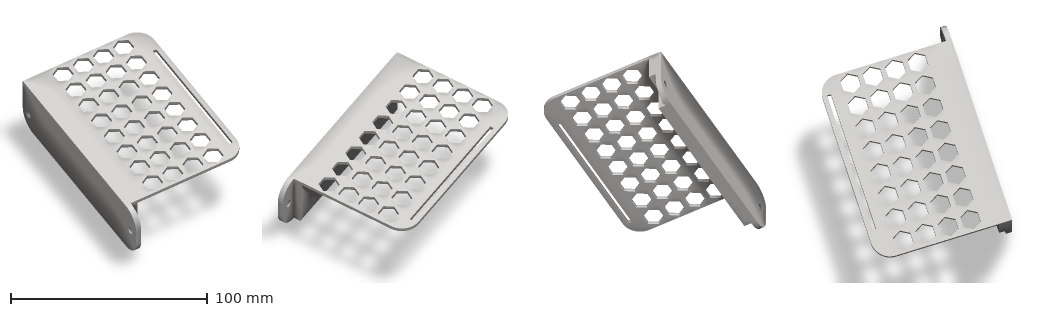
import cadquery as cq

length = 111.0
depth = 72.0
height = 30.0
corner_radius = 10.0

shelf_width = 100.7
shelf_thickness = 2.0

plate_thickness = 3.0
block_thickness = 4.0
ear_width = length - shelf_width
notch_height = 14.0

screw_diameter = 4.0
screw_edge_distance = 5.5
left_screw_height = 10.0
right_screw_height = 15.5

hex_columns = 8
hex_rows = 4
hex_corner_width = 10.8
hex_first_x = 6.5
hex_pitch_x = (shelf_width - 2 * hex_first_x) / (hex_columns - 1)
hex_pitch_y = 12.0
hex_first_y = 20.1

slot_left = 16.5
slot_length = 75.0
slot_width = 2.0
slot_rear_margin = 2.7


def box_at(x, y, z, size_x, size_y, size_z):
    """Box with its lower front left corner at (x, y, z)."""
    return cq.Workplane("XY").box(size_x, size_y, size_z, centered=False).translate((x, y, z))


def make_shelf():
    """Top plate with rounded rear corners, hexagonal openings and a slot."""
    underside = height - shelf_thickness
    shelf = box_at(0, 0, underside, shelf_width, depth, shelf_thickness)
    shelf = shelf.edges("|Z and >Y").fillet(corner_radius)

    hex_centers = [
        (hex_first_x + column * hex_pitch_x, hex_first_y + row * hex_pitch_y)
        for column in range(hex_columns)
        for row in range(hex_rows)
    ]
    hexagons = (
        cq.Workplane("XY", origin=(0, 0, underside))
        .pushPoints(hex_centers)
        .polygon(6, hex_corner_width)
        .extrude(shelf_thickness)
    )
    slot_front = depth - slot_rear_margin - slot_width
    slot = box_at(slot_left, slot_front, underside, slot_length, slot_width, shelf_thickness)
    return shelf.cut(hexagons).cut(slot)


def make_front_plate():
    """Upright plate, rounded at every corner except the upper left one."""
    plate = box_at(0, 0, 0, length, plate_thickness, height)
    return plate.edges("|Y and (>X or <Z)").fillet(corner_radius)


def make_block():
    """Thickening behind the plate, notched at the lower left."""
    block = box_at(0, plate_thickness, 0, shelf_width, block_thickness, height)
    notch = box_at(0, plate_thickness, 0, ear_width, block_thickness, notch_height)
    return block.cut(notch)


def make_screw_holes():
    """Cylinders that pierce the front plate at both ends."""
    screw_centers = [
        (screw_edge_distance, left_screw_height),
        (length - screw_edge_distance, right_screw_height),
    ]
    return (
        cq.Workplane("XZ")
        .pushPoints(screw_centers)
        .circle(screw_diameter / 2)
        .extrude(-plate_thickness)
    )


front = make_front_plate().union(make_block()).cut(make_screw_holes())
result = front.union(make_shelf())